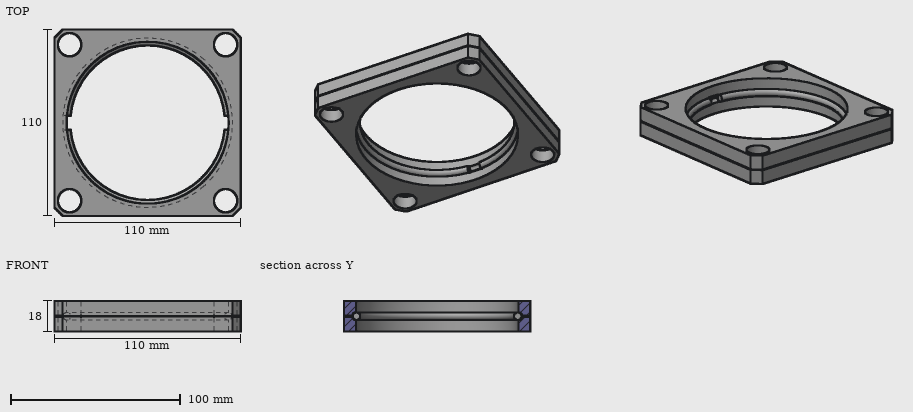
import cadquery as cq

side = 110.0
height = 18.0
corner_chamfer = 5.0
bore_radius = 47.7

hole_diameter = 13.6
hole_spacing = 92.0

plate_gap = 0.4

bead_radius = 2.25
gap_angle = 10.0


def bead_arc(start_angle, sweep_angle):
    """Stretch of round bead, centred on the bore wall at mid-height."""
    return (
        cq.Workplane("XZ")
        .center(bore_radius, 0)
        .circle(bead_radius)
        .revolve(sweep_angle, (-bore_radius, 0), (-bore_radius, 1))
        .rotate((0, 0, 0), (0, 0, 1), start_angle)
    )


frame = cq.Workplane("XY").box(side, side, height)
frame = frame.edges("|Z").chamfer(corner_chamfer)
frame = frame.faces(">Z").workplane().circle(bore_radius).cutThruAll()
frame = (
    frame.faces(">Z").workplane()
    .rect(hole_spacing, hole_spacing, forConstruction=True)
    .vertices()
    .hole(hole_diameter)
)

frame = frame.cut(cq.Workplane("XY").box(side, side, plate_gap))

for middle_angle in (0, 180):
    seat = bead_arc(middle_angle - gap_angle / 2, gap_angle)
    bead = bead_arc(middle_angle + gap_angle / 2, 180 - gap_angle)
    frame = frame.cut(seat).union(bead)

result = frame